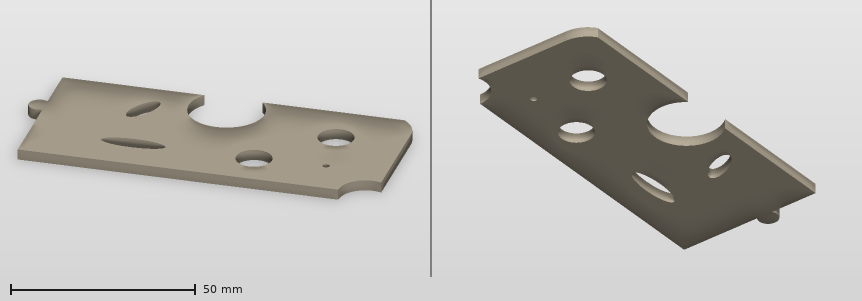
import cadquery as cq
import math

total_length = 104.6
plate_width = 45.0
thickness = 3.0

tab_radius = 3.0
tab_center = (-1.6, 27.5)
plate_length = total_length + tab_center[0] - tab_radius

corner_radius = 9.5
corner_center = (plate_length - corner_radius, 37.3)

top_bite_radius = 10.7
top_bite_center = (48.0, 38.1)
corner_bite_radius = 7.5
corner_bite_center = (97.5, 0.1)

large_hole_diameter = 10.0
large_hole_centers = [(81.0, 30.0), (63.0, 12.0)]
small_hole_diameter = 2.0
small_hole_center = (83.0, 13.0)

ellipse_minor_radius = 2.5
long_ellipse_radius = 9.0
long_ellipse_center = (29.1, 12.0)
short_ellipse_radius = 6.1
short_ellipse_center = (26.2, 32.4)
short_ellipse_tilt = 60.0


def disc(center, radius):
    """Cylinder through the full thickness."""
    return cq.Workplane("XY").center(*center).circle(radius).extrude(thickness)


def elliptical_disc(center, major_radius, tilt=0.0):
    """Elliptical prism with its long axis tilted from X by the given degrees."""
    return (
        cq.Workplane("XY")
        .center(*center)
        .ellipse(major_radius, ellipse_minor_radius, tilt)
        .extrude(thickness)
    )


def plate():
    """Rectangular plate with one corner rounded off."""
    end_angle = math.asin((plate_width - corner_center[1]) / corner_radius)
    arc_end = (corner_center[0] + corner_radius * math.cos(end_angle), plate_width)
    arc_middle = (
        corner_center[0] + corner_radius * math.cos(end_angle / 2),
        corner_center[1] + corner_radius * math.sin(end_angle / 2),
    )
    return (
        cq.Workplane("XY")
        .lineTo(plate_length, 0)
        .lineTo(plate_length, corner_center[1])
        .threePointArc(arc_middle, arc_end)
        .lineTo(0, plate_width)
        .close()
        .extrude(thickness)
    )


result = plate().union(disc(tab_center, tab_radius))

result = result.cut(disc(top_bite_center, top_bite_radius))
result = result.cut(disc(corner_bite_center, corner_bite_radius))

for hole_center in large_hole_centers:
    result = result.cut(disc(hole_center, large_hole_diameter / 2))
result = result.cut(disc(small_hole_center, small_hole_diameter / 2))

result = result.cut(elliptical_disc(long_ellipse_center, long_ellipse_radius))
result = result.cut(elliptical_disc(short_ellipse_center, short_ellipse_radius, short_ellipse_tilt))